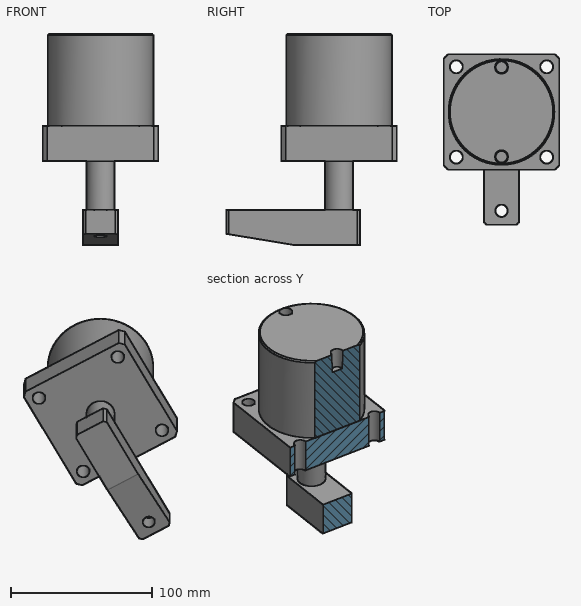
import cadquery as cq

TOTAL_HEIGHT = 149.5
TOTAL_LENGTH = 121.0
ARM_HEIGHT = 25.0
BASE_HEIGHT = 25.0
CYLINDER_HEIGHT = 65.0
BASE_BOTTOM = TOTAL_HEIGHT - CYLINDER_HEIGHT - BASE_HEIGHT
CYLINDER_BOTTOM = BASE_BOTTOM + BASE_HEIGHT

BASE_SIDE = 82.0
BASE_CORNER_CHAMFER = 3.1
MOUNT_HOLE_DIAMETER = 9.0
MOUNT_HOLE_PITCH = 64.0

CYLINDER_DIAMETER = 75.0
CYLINDER_RIM_CHAMFER = 1.0
PORT_MOUTH_DIAMETER = 9.3
PORT_END_DIAMETER = 8.2
PORT_DEPTH = 15.0
PORT_PITCH = 63.4

ROD_DIAMETER = 20.0

ARM_WIDTH = 25.0
ARM_BACK_Y = 15.0
ARM_TIP_Y = BASE_SIDE / 2 - TOTAL_LENGTH
ARM_TAPER_START_Y = -32.0
ARM_TIP_HEIGHT = 17.0
ARM_CORNER_CHAMFER = 2.0
ARM_HOLE_DIAMETER = 8.5
ARM_HOLE_Y = -70.0


def make_base():
    plate = (
        cq.Workplane("XY", origin=(0, 0, BASE_BOTTOM))
        .rect(BASE_SIDE, BASE_SIDE)
        .extrude(BASE_HEIGHT)
        .edges("|Z")
        .chamfer(BASE_CORNER_CHAMFER)
    )
    return (
        plate.faces(">Z")
        .workplane()
        .rect(MOUNT_HOLE_PITCH, MOUNT_HOLE_PITCH, forConstruction=True)
        .vertices()
        .hole(MOUNT_HOLE_DIAMETER)
    )


def make_cylinder():
    cylinder = (
        cq.Workplane("XY", origin=(0, 0, CYLINDER_BOTTOM))
        .circle(CYLINDER_DIAMETER / 2)
        .extrude(CYLINDER_HEIGHT)
        .faces(">Z")
        .edges()
        .chamfer(CYLINDER_RIM_CHAMFER)
    )
    for port_y in (-PORT_PITCH / 2, PORT_PITCH / 2):
        port = (
            cq.Workplane("XY", origin=(0, port_y, TOTAL_HEIGHT))
            .circle(PORT_MOUTH_DIAMETER / 2)
            .workplane(offset=-PORT_DEPTH)
            .circle(PORT_END_DIAMETER / 2)
            .loft(ruled=True)
        )
        cylinder = cylinder.cut(port)
    return cylinder


def make_rod():
    return (
        cq.Workplane("XY", origin=(0, 0, ARM_HEIGHT))
        .circle(ROD_DIAMETER / 2)
        .extrude(BASE_BOTTOM - ARM_HEIGHT)
    )


def make_arm():
    side_outline = [
        (ARM_BACK_Y, 0),
        (ARM_BACK_Y, ARM_HEIGHT),
        (ARM_TIP_Y, ARM_HEIGHT),
        (ARM_TIP_Y, ARM_HEIGHT - ARM_TIP_HEIGHT),
        (ARM_TAPER_START_Y, 0),
    ]
    bar = (
        cq.Workplane("YZ")
        .polyline(side_outline)
        .close()
        .extrude(ARM_WIDTH / 2, both=True)
        .edges("|Z")
        .chamfer(ARM_CORNER_CHAMFER)
    )
    tip_hole = (
        cq.Workplane("XY")
        .center(0, ARM_HOLE_Y)
        .circle(ARM_HOLE_DIAMETER / 2)
        .extrude(ARM_HEIGHT)
    )
    return bar.cut(tip_hole)


base = make_base()
cylinder = make_cylinder()
rod = make_rod()
arm = make_arm()

result = cq.Compound.makeCompound([base.val(), cylinder.val(), rod.val(), arm.val()])